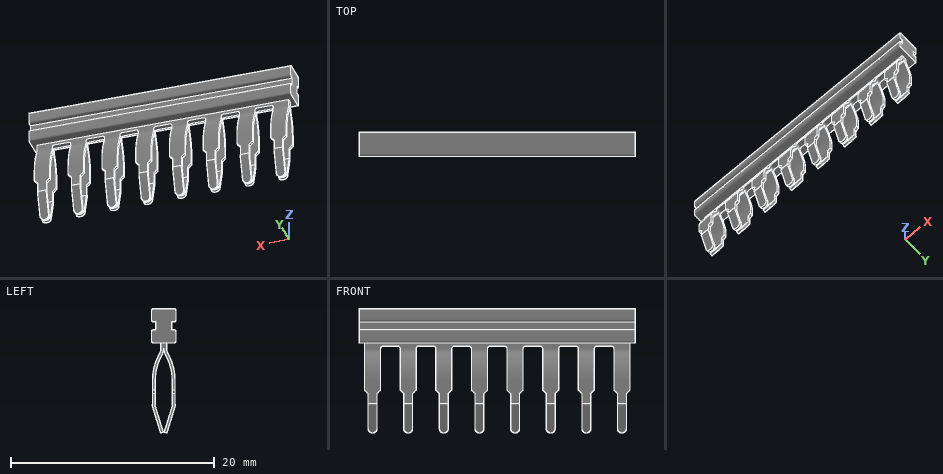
import cadquery as cq
import math

LENGTH = 27.1
HOUSING_WIDTH = 2.4
HOUSING_HEIGHT = 3.4
GROOVE_HEIGHT = 0.75
GROOVE_DEPTH = 0.4
EDGE_RADIUS = 0.2

PRONG_COUNT = 8
PRONG_PITCH = 3.5
ARM_THICKNESS = 0.3
PRONG_WIDTH = 1.6
LEG_WIDTH = 0.9
STRIP_HEIGHT = 0.33
ROOT_RADIUS = 0.22
TIP_RADIUS = 0.43
COMB_DEPTH = 8.83

SPREAD_DEPTH = 0.55
SPREAD_ANGLE = math.radians(26)
SPREAD_RADIUS = 0.95
BOW_RADIUS = 5.0
ARM_Y = 1.1
SHOULDER_DEPTH = 4.6
ELBOW_DEPTH = 6.1
ELBOW_JOG = 0.04
LEG_ANGLE = math.radians(17.2)

COMB_LENGTH = (PRONG_COUNT - 1) * PRONG_PITCH + PRONG_WIDTH
PRONG_CENTRES = [(i - (PRONG_COUNT - 1) / 2) * PRONG_PITCH for i in range(PRONG_COUNT)]


def make_housing():
    bar = cq.Workplane("YZ").rect(HOUSING_WIDTH, HOUSING_HEIGHT).extrude(LENGTH / 2, both=True)
    for side in (-1, 1):
        groove = cq.Workplane("XY").box(LENGTH, 2 * GROOVE_DEPTH, GROOVE_HEIGHT)
        bar = bar.cut(groove.translate((0, side * HOUSING_WIDTH / 2, 0)))
    outer_edges = bar.faces("<Y or >Y").edges("|X")
    return outer_edges.fillet(EDGE_RADIUS).translate((0, 0, HOUSING_HEIGHT / 2))


def around(centre, radius, angle):
    """Point (y, z) on a circle, the angle measured from +Y toward +Z."""
    return centre[0] + radius * math.cos(angle), centre[1] + radius * math.sin(angle)


def make_half_blank():
    """The comb's +Y half before trimming: its bent section run along the whole comb."""
    spread_centre = (ARM_THICKNESS + SPREAD_RADIUS, -SPREAD_DEPTH)
    spread_end = math.pi + SPREAD_ANGLE
    spread_middle = math.pi + SPREAD_ANGLE / 2

    bow_y = ARM_Y - BOW_RADIUS
    slant_top_y, slant_top_z = around(spread_centre, SPREAD_RADIUS, spread_end)
    slant_bottom_y = bow_y + BOW_RADIUS * math.cos(SPREAD_ANGLE)
    slant_bottom_z = slant_top_z - (slant_bottom_y - slant_top_y) / math.tan(SPREAD_ANGLE)
    bow_centre = (bow_y, slant_bottom_z - BOW_RADIUS * math.sin(SPREAD_ANGLE))

    inner_spread = SPREAD_RADIUS + ARM_THICKNESS
    inner_bow = BOW_RADIUS - ARM_THICKNESS

    arm_inner_y = ARM_Y - ARM_THICKNESS
    elbow = (arm_inner_y + ELBOW_JOG, -ELBOW_DEPTH)
    elbow_start = math.acos((ARM_Y - elbow[0]) / ARM_THICKNESS)
    elbow_top = around(elbow, ARM_THICKNESS, elbow_start)
    leg_outer_top = around(elbow, ARM_THICKNESS, -LEG_ANGLE)

    leg_length = (COMB_DEPTH + leg_outer_top[1]) / math.cos(LEG_ANGLE)
    leg_run = -leg_length * math.sin(LEG_ANGLE)
    leg_drop = -leg_length * math.cos(LEG_ANGLE)

    return (
        cq.Workplane("YZ", origin=(-COMB_LENGTH / 2, 0, 0))
        .moveTo(0, 0)
        .lineTo(ARM_THICKNESS, 0)
        .lineTo(ARM_THICKNESS, -SPREAD_DEPTH)
        .threePointArc(
            around(spread_centre, SPREAD_RADIUS, spread_middle),
            (slant_top_y, slant_top_z),
        )
        .lineTo(slant_bottom_y, slant_bottom_z)
        .threePointArc(
            around(bow_centre, BOW_RADIUS, SPREAD_ANGLE / 2),
            around(bow_centre, BOW_RADIUS, 0),
        )
        .lineTo(*elbow_top)
        .threePointArc(around(elbow, ARM_THICKNESS, (elbow_start - LEG_ANGLE) / 2), leg_outer_top)
        .lineTo(leg_outer_top[0] + leg_run, leg_outer_top[1] + leg_drop)
        .lineTo(elbow[0] + leg_run, elbow[1] + leg_drop)
        .lineTo(*elbow)
        .lineTo(arm_inner_y, elbow_top[1])
        .lineTo(*around(bow_centre, inner_bow, 0))
        .threePointArc(
            around(bow_centre, inner_bow, SPREAD_ANGLE / 2),
            around(bow_centre, inner_bow, SPREAD_ANGLE),
        )
        .lineTo(*around(spread_centre, inner_spread, spread_end))
        .threePointArc(
            around(spread_centre, inner_spread, spread_middle),
            (0, -SPREAD_DEPTH),
        )
        .close()
        .extrude(COMB_LENGTH)
    )


def make_comb_outline():
    """The comb's flat outline, thick enough to trim the bent blank."""
    half_prong = PRONG_WIDTH / 2
    half_leg = LEG_WIDTH / 2
    neck_depth = SHOULDER_DEPTH + half_prong - half_leg
    points = [
        (-half_prong, 0),
        (-half_prong, -SHOULDER_DEPTH),
        (-half_leg, -neck_depth),
        (-half_leg, -COMB_DEPTH),
        (half_leg, -COMB_DEPTH),
        (half_leg, -neck_depth),
        (half_prong, -SHOULDER_DEPTH),
        (half_prong, 0),
    ]
    strip = cq.Workplane("XZ", origin=(0, 0, -STRIP_HEIGHT / 2)).rect(COMB_LENGTH, STRIP_HEIGHT)
    outline = strip.extrude(HOUSING_WIDTH / 2, both=True)
    prong = cq.Workplane("XZ").polyline(points).close().extrude(HOUSING_WIDTH / 2, both=True)
    for x in PRONG_CENTRES:
        outline = outline.union(prong.translate((x, 0, 0)))

    root_span = (PRONG_COUNT - 1) * PRONG_PITCH / 2
    roots = cq.selectors.BoxSelector(
        (-root_span, -HOUSING_WIDTH, -2 * STRIP_HEIGHT),
        (root_span, HOUSING_WIDTH, 0),
    )
    return outline.edges("|Y").edges(roots).fillet(ROOT_RADIUS)


def make_comb():
    half = make_half_blank().intersect(make_comb_outline())
    across_leg = cq.Vector(0, math.cos(LEG_ANGLE), -math.sin(LEG_ANGLE))
    half = half.edges(cq.selectors.ParallelDirSelector(across_leg)).fillet(TIP_RADIUS)
    return half.union(half.mirror("XZ"))


housing = make_housing()
comb = make_comb()

result = cq.Compound.makeCompound([housing.solids().val(), comb.solids().val()])